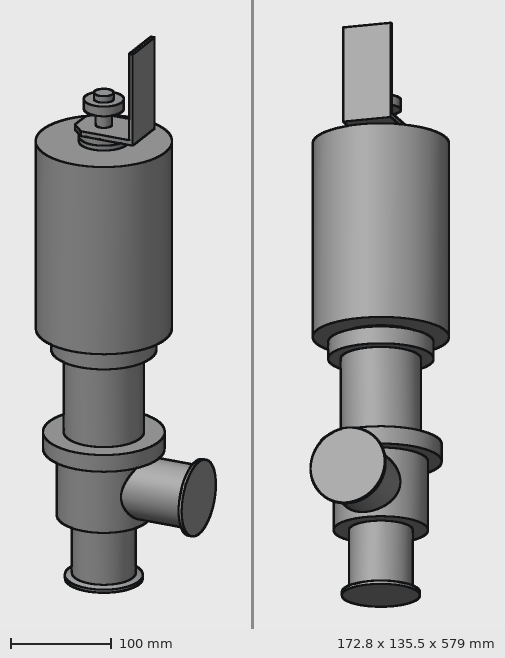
import cadquery as cq

total_height = 579.0
lower_pipe_top = 68.0
chamber_top = 139.0
chamber_flange_top = 157.0
neck_ring_bottom = 245.5
neck_ring_top = 263.0
actuator_bottom = 268.0
actuator_top = 469.0
boss_top = 474.5
bracket_bottom = 481.5
bracket_top = 486.5
knob_bottom = 504.0
knob_top = 514.5
stem_cap_top = 521.5

pipe_diameter = 64.0
ferrule_diameter = 77.5
chamber_diameter = 94.0
chamber_flange_diameter = 121.0
neck_diameter = 80.0
neck_ring_diameter = 105.0
actuator_diameter = 135.5
boss_diameter = 50.0

ferrule_rim = 3.5
ferrule_cone = 2.5

outlet_height = 105.0
outlet_reach = 105.0

stem_diameter = 16.0
knob_diameter = 40.0
stem_cap_diameter = 19.5
bracket_width = boss_diameter
bracket_left = -26.0
bracket_right = 44.0
bracket_corner = 13.0
upright_thickness = 4.0


def disc(diameter, bottom, top):
    """Cylinder on the valve axis between two heights."""
    return cq.Workplane("XY").workplane(offset=bottom).circle(diameter / 2).extrude(top - bottom)


def ferruled_pipe(length):
    """Solid pipe along +Z whose ferrule face lies on Z = 0."""
    pipe_radius = pipe_diameter / 2
    ferrule_radius = ferrule_diameter / 2
    return (
        cq.Workplane("XZ")
        .lineTo(ferrule_radius, 0)
        .lineTo(ferrule_radius, ferrule_rim)
        .lineTo(pipe_radius, ferrule_rim + ferrule_cone)
        .lineTo(pipe_radius, length)
        .lineTo(0, length)
        .close()
        .revolve(360, (0, 0, 0), (0, 1, 0))
    )


def make_valve():
    """Ferruled pipes, chamber, neck and actuator as one solid."""
    outlet = (
        ferruled_pipe(outlet_reach)
        .rotate((0, 0, 0), (0, 1, 0), -90)
        .translate((outlet_reach, 0, outlet_height))
    )
    return (
        ferruled_pipe(lower_pipe_top)
        .union(disc(chamber_diameter, lower_pipe_top, chamber_top))
        .union(disc(chamber_flange_diameter, chamber_top, chamber_flange_top))
        .union(disc(neck_diameter, chamber_flange_top, actuator_bottom))
        .union(disc(neck_ring_diameter, neck_ring_bottom, neck_ring_top))
        .union(disc(actuator_diameter, actuator_bottom, actuator_top))
        .union(disc(boss_diameter, actuator_top, boss_top))
        .union(outlet)
    )


def make_bracket():
    """L-shaped plate with the two corners at its free end cut off."""
    foot = (
        cq.Workplane("XY")
        .box(
            bracket_right - bracket_left,
            bracket_width,
            bracket_top - bracket_bottom,
            centered=(False, True, False),
        )
        .edges("|Z and <X")
        .chamfer(bracket_corner)
        .translate((bracket_left, 0, bracket_bottom))
    )
    upright = (
        cq.Workplane("XY")
        .box(
            upright_thickness,
            bracket_width,
            total_height - bracket_bottom,
            centered=(False, True, False),
        )
        .translate((bracket_right - upright_thickness, 0, bracket_bottom))
    )
    return foot.union(upright)


def make_indicator():
    """Base disc, bracket, stem and knob, standing on the actuator boss."""
    return (
        disc(boss_diameter, boss_top, bracket_bottom)
        .union(make_bracket())
        .union(disc(stem_diameter, bracket_top, knob_bottom))
        .union(disc(knob_diameter, knob_bottom, knob_top))
        .union(disc(stem_cap_diameter, knob_top, stem_cap_top))
    )


valve = make_valve()
indicator = make_indicator()

result = cq.Compound.makeCompound([valve.val(), indicator.val()])